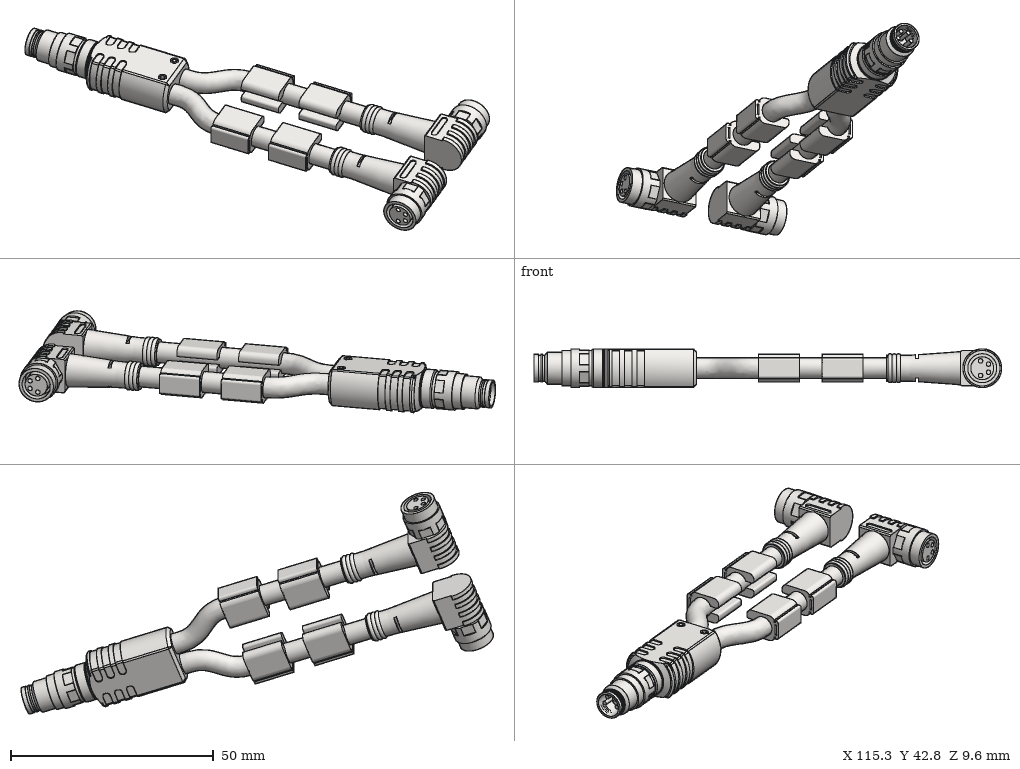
import cadquery as cq
import math

total_length = 115.3
total_width = 42.8
branch_y = 9.0
nut_diameter = 9.6
nut_radius = nut_diameter / 2
socket_x = total_length - nut_radius
socket_end_y = total_width / 2
cable_diameter = 5.2
overlap = 0.2

contact_circle_radius = 1.8
contact_angles = (33, 103, -103, -33)
pin_diameter = 1.0
contact_hole_diameter = 1.1
contact_hole_depth = 2.3

plug_rim_diameter = 6.9
plug_bore_diameter = 5.9
plug_bore_depth = 5.2
pin_tip_x = 1.0
plug_outline = [
    (0, plug_rim_diameter),
    (1.1, plug_rim_diameter),
    (1.1, 6.5),
    (1.7, 6.5),
    (1.7, plug_rim_diameter),
    (2.2, plug_rim_diameter),
    (2.2, 6.5),
    (2.7, 6.5),
    (3.3, 8.0),
    (6.9, 8.0),
    (6.9, 8.8),
    (9.1, 8.8),
    (9.1, nut_diameter),
    (13.6, nut_diameter),
    (13.6, 8.8),
    (14.3, 8.8),
    (14.3, 9.1),
    (14.6, nut_diameter),
    (17.0, nut_diameter),
    (17.0, 9.3),
    (17.4, nut_diameter),
]

flat_count = 6
flat_width = 3.1
flat_distance = 4.4
flat_length = 2.4
plug_flat_start_x = 11.3

body_start_x = 18.2
body_end_x = 40.1
body_half_width = 7.1
body_top_half_width = 5.1
body_edge_width = 0.5
body_edge_height = 0.2
body_half_height = nut_radius
body_front_chamfer = 0.5
body_end_chamfer = 0.8
shoulder_end_diameter = 12.7
grip_first_x = 20.2
grip_pitch = 3.1
grip_count = 3
grip_width = 1.8
grip_inner_y = 1.8
grip_depth = 0.3
screw_x = 37.5
screw_y = 3.5
screw_recess_diameter = 2.0
screw_recess_depth = 0.6
screw_pin_diameter = 1.0

cable_exit_y = 3.1
cable_bend_start_x = 41.9

clip_starts_x = (55.3, 71.0)
clip_length = 10.1
clip_half_height = 3.5
clip_inner_y = 4.2
clip_outer_y = 13.5
clip_flat_inner_y = 5.6
clip_flat_outer_y = 11.0
clip_lip_gap = 1.8
clip_lip_fillet = 0.6
clip_back_y = 12.2
clip_back_half_height = 2.7
clip_corner_bulge = 0.1
label_start_y = 12.6
label_half_height = 2.5
label_fillet = 0.6
label_neck_half_height = 2.1
label_slot_y = (12.5, 12.9)
label_slot_half_height = 1.4

boot_start_x = 86.9
boot_ring_diameter = 7.1
boot_ring_count = 3
boot_ring_start_x = 87.3
boot_ring_width = 1.0
boot_diameter = 6.5
boot_cone_start_x = 92.7
boot_cone_end_diameter = 8.3
boot_slit_start_x = 94.1
boot_slit_width = 0.7
boot_slit_height = 2.4

head_start_x = 105.2
head_inner_y = 4.3
head_outer_y = 13.5
head_half_height = 4.4
head_edge_chamfer = 0.3
rib_radius = 4.7
rib_start_x = 110.0
rib_width = 1.2
rib_count = 4
recess_x = 107.0
recess_length = 7.3
recess_width = 1.5
recess_depth = 0.3

neck_diameter = 5.9
nut_start_y = 14.0
nut_collar_end_y = 18.7
nut_sleeve_diameter = 8.8
socket_gap_outer_diameter = 7.1
socket_insert_diameter = 5.6
socket_gap_depth = 3.5


def turned_along_x(outline):
    """Revolves (X, diameter) points about the X axis."""
    points = [(x, diameter / 2) for x, diameter in outline]
    points = [(outline[0][0], 0)] + points + [(outline[-1][0], 0)]
    return cq.Workplane("XY").polyline(points).close().revolve(360, (0, 0, 0), (1, 0, 0))


def rod_along_x(start_x, length, diameter, y=0, z=0):
    return cq.Workplane("YZ", origin=(start_x, y, z)).circle(diameter / 2).extrude(length)


def rod_along_y(start_y, length, diameter, x=socket_x, z=0):
    return cq.Workplane("XZ", origin=(x, start_y, z)).circle(diameter / 2).extrude(-length)


def block(x_range, y_range, z_range):
    size = [high - low for low, high in (x_range, y_range, z_range)]
    corner = (x_range[0], y_range[0], z_range[0])
    return cq.Workplane("XY").box(*size, centered=False).translate(corner)


def plug():
    shape = turned_along_x(plug_outline)
    flat = block(
        (plug_flat_start_x, plug_flat_start_x + flat_length),
        (-flat_width / 2, flat_width / 2),
        (flat_distance, nut_diameter),
    )
    for i in range(flat_count):
        shape = shape.cut(flat.rotate((0, 0, 0), (1, 0, 0), i * 360 / flat_count))
    shape = shape.cut(rod_along_x(0, plug_bore_depth, plug_bore_diameter))
    for angle in contact_angles:
        y = contact_circle_radius * math.sin(math.radians(angle))
        z = contact_circle_radius * math.cos(math.radians(angle))
        pin_length = plug_bore_depth - pin_tip_x + overlap
        shape = shape.union(rod_along_x(pin_tip_x, pin_length, pin_diameter, y, z))
    return shape


def body_block(inset):
    """Flat-topped block with bulging sides, its skin moved inward by the inset."""
    top_y = body_top_half_width
    side_y = body_half_width - inset
    z = body_half_height - inset
    edge_y = top_y + body_edge_width
    edge_z = z - body_edge_height
    return (
        cq.Workplane("YZ", origin=(body_start_x, 0, 0))
        .moveTo(-top_y, z)
        .lineTo(top_y, z)
        .lineTo(edge_y, edge_z)
        .threePointArc((side_y, 0), (edge_y, -edge_z))
        .lineTo(top_y, -z)
        .lineTo(-top_y, -z)
        .lineTo(-edge_y, -edge_z)
        .threePointArc((-side_y, 0), (-edge_y, edge_z))
        .close()
        .extrude(body_end_x - body_start_x)
    )


def grip_grooves():
    """Round-ended grooves that run from the top over both sides to the bottom."""
    groove_length = body_half_width
    grooves = cq.Workplane("XY")
    for i in range(grip_count):
        x = grip_first_x + i * grip_pitch
        for side in (-1, 1):
            center_y = side * (grip_inner_y + groove_length / 2)
            groove = (
                cq.Workplane("XY", origin=(x, center_y, 0))
                .slot2D(groove_length, grip_width, 90)
                .extrude(body_half_height, both=True)
            )
            grooves = grooves.add(groove)
    return grooves.combine().cut(body_block(grip_depth))


def body():
    shape = body_block(0)
    shape = shape.faces("<X").chamfer(body_front_chamfer).faces(">X").chamfer(body_end_chamfer)
    shape = shape.cut(grip_grooves())
    screw_floor = body_half_height - screw_recess_depth
    for side in (-1, 1):
        place = (screw_x, side * screw_y, screw_floor)
        recess = (
            cq.Workplane("XY", origin=place)
            .circle(screw_recess_diameter / 2)
            .circle(screw_pin_diameter / 2)
            .extrude(screw_recess_depth)
        )
        shape = shape.cut(recess)
    shoulder_start_x, shoulder_start_diameter = plug_outline[-1]
    shoulder = turned_along_x(
        [
            (shoulder_start_x - overlap, shoulder_start_diameter),
            (shoulder_start_x, shoulder_start_diameter),
            (body_start_x, shoulder_end_diameter),
            (body_start_x + body_front_chamfer, shoulder_end_diameter),
        ]
    )
    shoulder_limit = block(
        (0, body_end_x),
        (-body_half_width, body_half_width),
        (-body_half_height, body_half_height),
    )
    return shape.union(shoulder.intersect(shoulder_limit))


def cable():
    """Cable that leaves the body straight, then swings outward in an S-bend."""
    path = (
        cq.Workplane("XY")
        .moveTo(body_end_x - overlap, cable_exit_y)
        .lineTo(cable_bend_start_x, cable_exit_y)
        .spline([(clip_starts_x[0], branch_y)], tangents=[(1, 0), (1, 0)], includeCurrent=True)
        .lineTo(boot_start_x + overlap, branch_y)
    )
    start = cq.Workplane("YZ", origin=(body_end_x - overlap, cable_exit_y, 0))
    return start.circle(cable_diameter / 2).sweep(path)


def clip(start_x):
    """C-shaped clip, open toward the other branch, with a label plate on its back."""
    lip_radius = clip_flat_inner_y - clip_inner_y
    half_gap = clip_lip_gap / 2
    lip_z = clip_half_height - lip_radius
    corner_y = (clip_flat_outer_y + clip_back_y) / 2 + clip_corner_bulge
    corner_z = (clip_half_height + clip_back_half_height) / 2 + clip_corner_bulge
    lip_mid = lip_radius * math.sqrt(0.5)
    shell = (
        cq.Workplane("YZ", origin=(start_x, 0, 0))
        .moveTo(clip_flat_inner_y, clip_half_height)
        .lineTo(clip_flat_outer_y, clip_half_height)
        .threePointArc((corner_y, corner_z), (clip_back_y, clip_back_half_height))
        .lineTo(clip_back_y, -clip_back_half_height)
        .threePointArc((corner_y, -corner_z), (clip_flat_outer_y, -clip_half_height))
        .lineTo(clip_flat_inner_y, -clip_half_height)
        .threePointArc((clip_flat_inner_y - lip_mid, -lip_z - lip_mid), (clip_inner_y, -lip_z))
        .lineTo(clip_inner_y, lip_z)
        .threePointArc(
            (clip_flat_inner_y - lip_mid, lip_z + lip_mid),
            (clip_flat_inner_y, clip_half_height),
        )
        .close()
        .extrude(clip_length)
    )
    x_range = (start_x, start_x + clip_length)
    shell = shell.cut(block(x_range, (clip_inner_y, branch_y), (-half_gap, half_gap)))
    gap_edges = cq.selectors.BoxSelector(
        (start_x, clip_inner_y - overlap, -half_gap - overlap),
        (start_x + clip_length, clip_inner_y + overlap, half_gap + overlap),
    )
    shell = shell.edges(gap_edges).fillet(clip_lip_fillet)
    neck = block(
        x_range,
        (clip_back_y - overlap, label_start_y + overlap),
        (-label_neck_half_height, label_neck_half_height),
    )
    label = block(x_range, (label_start_y, clip_outer_y), (-label_half_height, label_half_height))
    label = label.faces(">Y").edges("|X").fillet(label_fillet)
    slot_z = (-label_slot_half_height, label_slot_half_height)
    return shell.union(neck).union(label).cut(block(x_range, label_slot_y, slot_z))


def boot():
    shape = turned_along_x(
        [
            (boot_start_x, boot_diameter),
            (boot_cone_start_x, boot_diameter),
            (head_start_x + overlap, boot_cone_end_diameter),
        ]
    )
    for i in range(boot_ring_count):
        ring_x = boot_ring_start_x + i * boot_ring_width
        ring = (
            cq.Workplane("XY")
            .moveTo(ring_x, 0)
            .lineTo(ring_x, boot_diameter / 2)
            .threePointArc(
                (ring_x + boot_ring_width / 2, boot_ring_diameter / 2),
                (ring_x + boot_ring_width, boot_diameter / 2),
            )
            .lineTo(ring_x + boot_ring_width, 0)
            .close()
            .revolve(360, (0, 0, 0), (1, 0, 0))
        )
        shape = shape.union(ring)
    slit_x = (boot_slit_start_x, boot_slit_start_x + boot_slit_width)
    slit_y = (-boot_diameter, boot_diameter)
    for slit_z in ((boot_slit_height, boot_diameter), (-boot_diameter, -boot_slit_height)):
        shape = shape.cut(block(slit_x, slit_y, slit_z))
    return shape.translate((0, branch_y, 0))


def head():
    width = head_outer_y - head_inner_y
    y_range = (head_inner_y, head_outer_y)
    shape = block((head_start_x, socket_x), y_range, (-head_half_height, head_half_height))
    shape = shape.faces("<X").edges("|Y").chamfer(head_edge_chamfer)
    shape = shape.union(rod_along_y(head_inner_y, width, 2 * head_half_height))
    rib_pitch = (width - rib_width) / (rib_count - 1)
    rib_zone = block((rib_start_x, total_length), y_range, (-rib_radius, rib_radius))
    for i in range(rib_count):
        rib = rod_along_y(head_inner_y + i * rib_pitch, rib_width, 2 * rib_radius)
        shape = shape.union(rib.intersect(rib_zone))
    recess = (
        cq.Workplane("XY", origin=(recess_x, branch_y, head_half_height))
        .slot2D(recess_length, recess_width, 90)
        .extrude(-recess_depth)
    )
    return shape.cut(recess)


def socket():
    neck_start_y = head_outer_y - overlap
    collar = rod_along_y(nut_start_y, nut_collar_end_y - nut_start_y, nut_diameter)
    flat = block(
        (socket_x - flat_width / 2, socket_x + flat_width / 2),
        (nut_start_y, nut_start_y + flat_length),
        (flat_distance, nut_diameter),
    )
    for i in range(flat_count):
        collar = collar.cut(flat.rotate((socket_x, 0, 0), (socket_x, 1, 0), i * 360 / flat_count))
    shape = rod_along_y(neck_start_y, socket_end_y - neck_start_y, neck_diameter)
    sleeve_length = socket_end_y - nut_start_y - overlap
    shape = shape.union(rod_along_y(nut_start_y + overlap, sleeve_length, nut_sleeve_diameter))
    shape = shape.union(collar)
    gap = rod_along_y(socket_end_y - socket_gap_depth, socket_gap_depth, socket_gap_outer_diameter)
    shape = shape.cut(gap)
    insert = rod_along_y(
        socket_end_y - socket_gap_depth - overlap,
        socket_gap_depth + overlap,
        socket_insert_diameter,
    )
    shape = shape.union(insert)
    for angle in contact_angles:
        x = socket_x + contact_circle_radius * math.cos(math.radians(angle))
        z = contact_circle_radius * math.sin(math.radians(angle))
        hole_start_y = socket_end_y - contact_hole_depth
        shape = shape.cut(rod_along_y(hole_start_y, contact_hole_depth, contact_hole_diameter, x, z))
    return shape


def branch():
    shape = cable()
    for start_x in clip_starts_x:
        shape = shape.union(clip(start_x))
    return shape.union(boot()).union(head()).union(socket())


one_branch = branch()
result = plug().union(body()).union(one_branch).union(one_branch.mirror("XZ"))